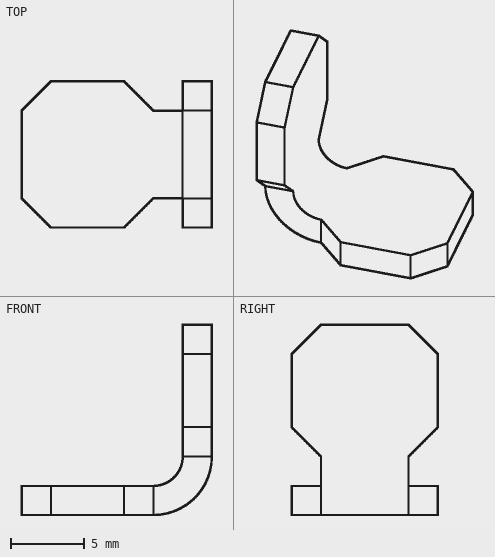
import cadquery as cq

overall = 13.0
width = 10.0
thickness = 2.0
corner = 2.0
inner_radius = 2.0

outer_radius = inner_radius + thickness
plate_length = overall - outer_radius
bend_width = width - 2 * corner


def horizontal_plate():
    """Flat plate with cut corners, lying on Z = 0 and starting at X = 0."""
    plate = cq.Workplane("XY").box(plate_length, width, thickness, centered=(False, True, False))
    return plate.edges("|Z").chamfer(corner)


def vertical_plate():
    """Upright plate with cut corners, standing above the end of the bend."""
    plate = cq.Workplane("XY").box(thickness, width, plate_length, centered=(False, True, False))
    return plate.edges("|X").chamfer(corner).translate((overall - thickness, 0, outer_radius))


def bend():
    """Quarter-ring strip joining the two plates, centred on Y = 0."""
    return (
        cq.Workplane("XZ")
        .moveTo(plate_length, 0)
        .radiusArc((overall, outer_radius), -outer_radius)
        .lineTo(overall - thickness, outer_radius)
        .radiusArc((plate_length, thickness), inner_radius)
        .close()
        .extrude(bend_width / 2, both=True)
    )


result = horizontal_plate().union(bend()).union(vertical_plate())